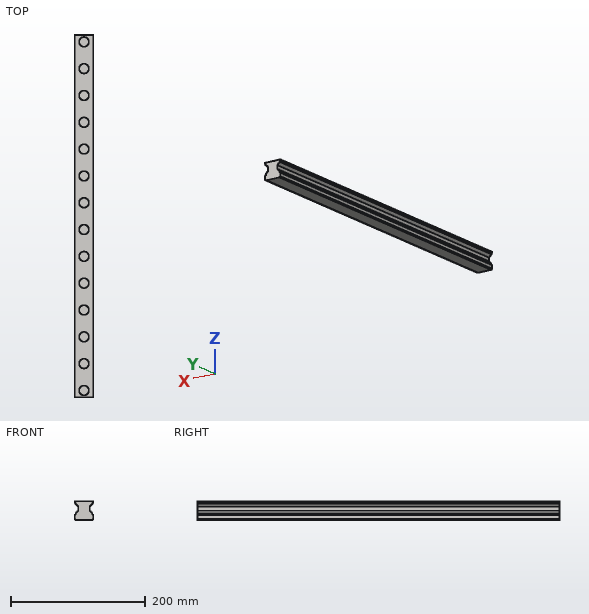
import cadquery as cq

length = 540.0
width = 28.0
height = 28.0

base_chamfer = 1.5
base_side_top = 7.0
base_step_bottom = 8.5
base_step_top = 10.0
waist_bottom = 14.0
waist_top = 20.0
head_step_bottom = 24.5
head_step_top = 25.5
head_side_bottom = 26.5

half_width = width / 2
base_step_half_width = 12.5
waist_half_width = 8.5
head_step_half_width = 13.0

hole_count = 14
hole_end_offset = 10.0
hole_pitch = (length - 2 * hole_end_offset) / (hole_count - 1)
cap_diameter = 14.5
cap_recess_depth = 0.25


def make_rail():
    """Waisted rail, symmetric about its middle plane, running along Y."""
    right_side = [
        (half_width - base_chamfer, 0),
        (half_width, base_chamfer),
        (half_width, base_side_top),
        (base_step_half_width, base_step_bottom),
        (base_step_half_width, base_step_top),
        (waist_half_width, waist_bottom),
        (waist_half_width, waist_top),
        (head_step_half_width, head_step_bottom),
        (head_step_half_width, head_step_top),
        (half_width, head_side_bottom),
        (half_width, height),
    ]
    left_side = [(-x, z) for x, z in reversed(right_side)]
    return (
        cq.Workplane("XZ")
        .polyline(right_side + left_side)
        .close()
        .extrude(length / 2, both=True)
    )


def make_cap_recesses():
    """Shallow round recesses left above the hole caps."""
    first_hole = -length / 2 + hole_end_offset
    centres = [(0, first_hole + i * hole_pitch) for i in range(hole_count)]
    return (
        cq.Workplane("XY")
        .workplane(offset=height - cap_recess_depth)
        .pushPoints(centres)
        .circle(cap_diameter / 2)
        .extrude(cap_recess_depth)
    )


result = make_rail().cut(make_cap_recesses())